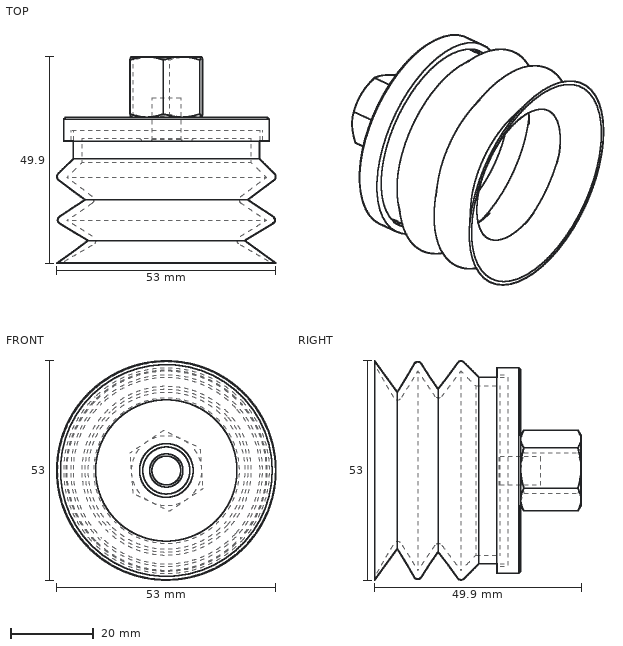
import cadquery as cq
import math

first_neck_y = 5.45
lower_fold_y = 10.4
second_neck_y = 15.3
upper_fold_y = 20.8
collar_start_y = 25.2
cavity_collar_start_y = 24.4
flange_start_y = 29.5
cavity_floor_y = 30.2
flange_end_y = 35.3
total_length = 49.85

rim_radius = 26.5
lower_fold_apex_radius = 27.2
upper_fold_apex_radius = 27.05
first_neck_radius = 19.0
second_neck_radius = 19.7
collar_radius = 45.15 / 2
fold_rounding = 1.0
lip_width = 0.9
cavity_fold_radius = 24.1
cavity_neck_inset = 2.85
neck_rounding = 1.0
cavity_collar_radius = 20.45

flange_radius = 49.75 / 2
flange_recess_radius = 46.4 / 2
flange_recess_depth = 2.65
flange_chamfer = 0.55

hex_across_flats = 16.95
hex_turn = 4.0
hex_chamfer_angle = 30.0

stud_radius = 13.0 / 2
stud_tip_radius = 11.4 / 2
stud_height = 0.8
bore_radius = 7.0 / 2
bore_mouth_radius = 4.05
bore_depth = 10.6


def revolve_profile(points):
    """Revolve (radius, y) points, closed along the axis, about Y."""
    closed = [(0, points[0][1])] + points + [(0, points[-1][1])]
    return cq.Workplane("XY").polyline(closed).close().revolve(360, (0, 0, 0), (0, 1, 0))


def circles_near(body, radius, y_min, y_max):
    """Select the circular edges of one radius between two stations."""
    return body.edges(cq.selectors.BoxSelector(
        (-2 * radius, y_min, -2 * radius), (2 * radius, y_max, 2 * radius), boundingbox=True
    ))


def make_bellows():
    body = revolve_profile([
        (rim_radius, 0),
        (first_neck_radius, first_neck_y),
        (lower_fold_apex_radius, lower_fold_y),
        (second_neck_radius, second_neck_y),
        (upper_fold_apex_radius, upper_fold_y),
        (collar_radius, collar_start_y),
        (collar_radius, flange_start_y + flange_recess_depth),
    ])
    for y in (lower_fold_y, upper_fold_y):
        body = circles_near(body, rim_radius, y - 0.55, y + 0.55).fillet(fold_rounding)
    return body


def make_cavity():
    body = revolve_profile([
        (rim_radius - lip_width, 0),
        (first_neck_radius - cavity_neck_inset, first_neck_y),
        (cavity_fold_radius, lower_fold_y),
        (second_neck_radius - cavity_neck_inset, second_neck_y),
        (cavity_fold_radius, upper_fold_y),
        (cavity_collar_radius, cavity_collar_start_y),
        (cavity_collar_radius, cavity_floor_y),
    ])
    for y in (first_neck_y, second_neck_y):
        body = circles_near(body, rim_radius, y - 0.55, y + 0.55).fillet(neck_rounding)
    return body


def make_flange():
    plate = revolve_profile([
        (flange_radius, flange_start_y),
        (flange_radius, flange_end_y - flange_chamfer),
        (flange_radius - flange_chamfer, flange_end_y),
    ])
    recess = revolve_profile([
        (flange_recess_radius, flange_start_y),
        (flange_recess_radius, flange_start_y + flange_recess_depth),
    ])
    return plate.cut(recess)


def make_hex_head():
    flat_radius = hex_across_flats / 2
    corner_radius = flat_radius / math.cos(math.radians(30))
    slope_height = (corner_radius - flat_radius) * math.tan(math.radians(hex_chamfer_angle))
    prism = (
        cq.Workplane("XZ", origin=(0, total_length, 0))
        .transformed(rotate=(0, 0, 90 + hex_turn))
        .polygon(6, 2 * corner_radius)
        .extrude(total_length - flange_end_y)
    )
    envelope = revolve_profile([
        (flat_radius, flange_end_y),
        (corner_radius, flange_end_y + slope_height),
        (corner_radius, total_length - slope_height),
        (flat_radius, total_length),
    ])
    return prism.intersect(envelope)


def make_stud():
    tip_y = cavity_floor_y - stud_height
    return revolve_profile([
        (stud_tip_radius, tip_y),
        (stud_radius, cavity_floor_y),
    ])


def make_bore():
    countersink = bore_mouth_radius - bore_radius
    tip_y = cavity_floor_y - stud_height
    return revolve_profile([
        (bore_mouth_radius, tip_y),
        (bore_radius, tip_y + countersink),
        (bore_radius, tip_y + bore_depth),
    ])


result = make_bellows().union(make_flange()).cut(make_cavity())
result = result.union(make_hex_head()).union(make_stud())
result = result.cut(make_bore())